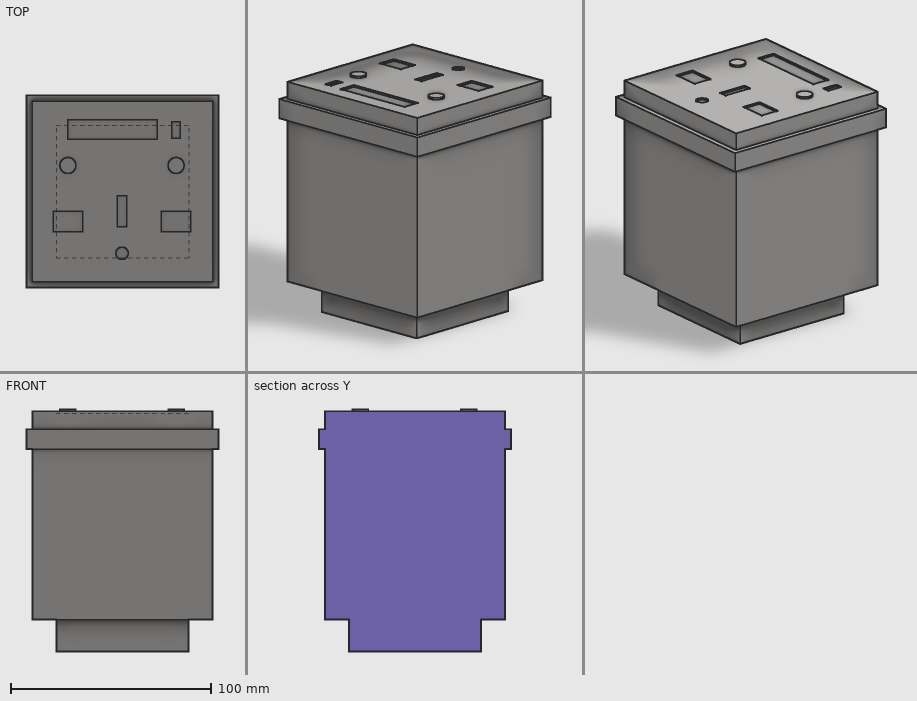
import cadquery as cq

total_height = 121.0
base_width = 66.0
base_height = 16.0
body_width = 90.0
flange_width = 96.0
flange_height = 10.0
cap_height = 9.0
button_height = 1.0
body_height = total_height - base_height - flange_height - cap_height - button_height
top_face_z = total_height - button_height

panel_center_x = -0.2
column_spacing = 27.0
left_column_x = panel_center_x - column_spacing
right_column_x = panel_center_x + column_spacing
recess_depth = 1.0

button_diameter = 8.0
button_y = 13.0

display_length = 44.5
display_width = 9.8
display_x = left_column_x + display_length / 2
display_y = 30.9

small_slot_length = 4.1
small_slot_width = 8.2
small_slot_y = 30.6

window_length = 14.8
window_width = 10.3
window_y = -15.0

middle_slot_length = 4.6
middle_slot_width = 15.6
middle_slot_y = -9.9

round_recess_diameter = 6.2
round_recess_y = -30.9


def square_section(width, bottom_z, height):
    """Centred square block standing on bottom_z."""
    return cq.Workplane("XY").workplane(offset=bottom_z).rect(width, width).extrude(height)


def rectangular_recess(x, y, length, width):
    """Cutter for a shallow rectangular pocket in the top face."""
    return (
        cq.Workplane("XY")
        .workplane(offset=top_face_z)
        .center(x, y)
        .rect(length, width)
        .extrude(-recess_depth)
    )


def panel_disc(x, y, diameter, height):
    """Disc starting at the top face; a negative height goes below it."""
    return cq.Workplane("XY").workplane(offset=top_face_z).center(x, y).circle(diameter / 2).extrude(height)


flange_z = base_height + body_height
result = square_section(base_width, 0, base_height)
result = result.union(square_section(body_width, base_height, body_height))
result = result.union(square_section(flange_width, flange_z, flange_height))
result = result.union(square_section(body_width, flange_z + flange_height, cap_height))

for column_x in (left_column_x, right_column_x):
    result = result.union(panel_disc(column_x, button_y, button_diameter, button_height))
    result = result.cut(rectangular_recess(column_x, window_y, window_length, window_width))

result = result.cut(rectangular_recess(display_x, display_y, display_length, display_width))
result = result.cut(rectangular_recess(right_column_x, small_slot_y, small_slot_length, small_slot_width))
result = result.cut(rectangular_recess(panel_center_x, middle_slot_y, middle_slot_length, middle_slot_width))

result = result.cut(panel_disc(panel_center_x, round_recess_y, round_recess_diameter, -recess_depth))